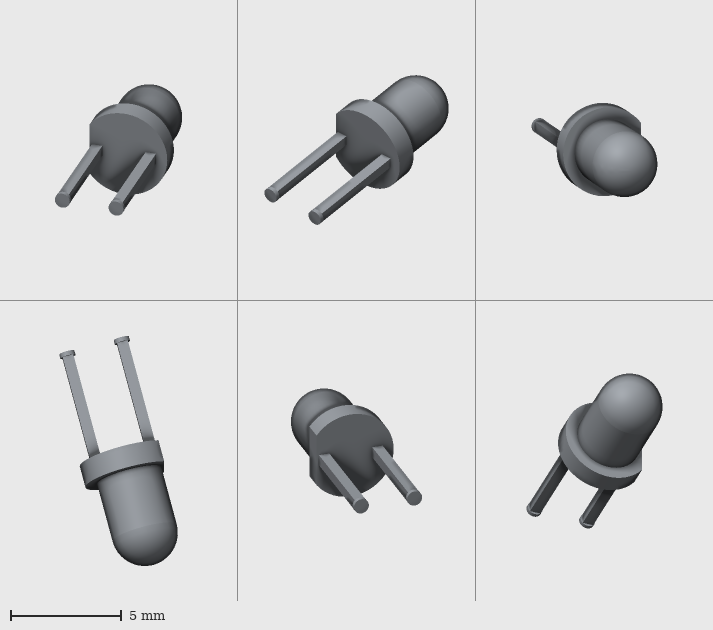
import cadquery as cq

total_length = 10.41

flange_diameter = 4.09
flange_width = 3.67
flange_thickness = 1.0
lens_diameter = 3.0

lead_side = 0.5
lead_length = 5.0
lead_spacing = 2.54
disc_diameter = 0.71
disc_thickness = 0.2

flange_radius = flange_diameter / 2
lens_radius = lens_diameter / 2
dome_top = total_length - disc_thickness - lead_length
barrel_top = dome_top - lens_radius


def make_lamp():
    """Dome, barrel and flange in one solid, with its axis along +Y."""
    profile = (
        cq.Workplane("XY")
        .moveTo(0, 0)
        .lineTo(flange_radius, 0)
        .lineTo(flange_radius, flange_thickness)
        .lineTo(lens_radius, flange_thickness)
        .lineTo(lens_radius, barrel_top)
        .radiusArc((0, dome_top), -lens_radius)
        .close()
    )
    lamp = profile.revolve(360, (0, 0, 0), (0, 1, 0))

    flat_x = flange_radius - flange_width
    trim = cq.Workplane("XY").box(
        flange_radius, flange_thickness, flange_diameter, centered=(True, False, True)
    )
    return lamp.cut(trim.translate((flat_x - flange_radius / 2, 0, 0)))


def make_lead(x):
    """Square lead running in -Y from the flange face."""
    return cq.Workplane("XZ").center(x, 0).rect(lead_side, lead_side).extrude(lead_length)


def make_end_disc(x):
    """Round disc on the tip of a lead."""
    return (
        cq.Workplane("XZ", origin=(x, -lead_length, 0))
        .circle(disc_diameter / 2)
        .extrude(disc_thickness)
    )


lamp = make_lamp()
lead_positions = [-lead_spacing / 2, lead_spacing / 2]
leads = [make_lead(x) for x in lead_positions]
end_discs = [make_end_disc(x) for x in lead_positions]

result = cq.Compound.makeCompound([body.val() for body in [lamp, *leads, *end_discs]])